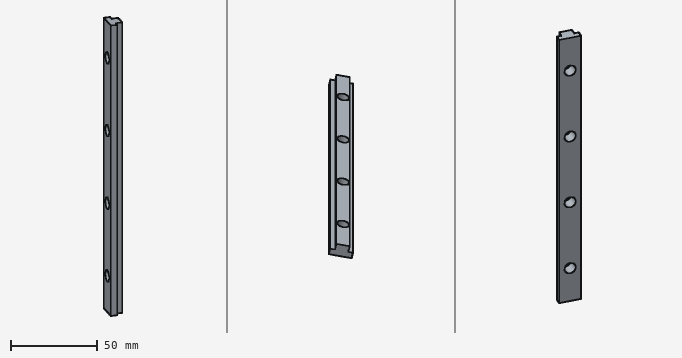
import cadquery as cq

length = 180.0
flange_width = 13.5
depth = 8.0

flange_thickness = 4.0
stem_width = 8.0

hole_count = 4
hole_diameter = 6.8
hole_pitch = length / hole_count


def make_bar():
    """Extrude the T profile along Z, with the flange front on Y = 0."""
    flange = cq.Workplane("XY").box(
        flange_width, flange_thickness, length, centered=(True, False, False)
    )
    stem = cq.Workplane("XY").box(
        stem_width, depth, length, centered=(True, False, False)
    )
    return flange.union(stem)


def make_holes():
    """Cylinders along Y, half a pitch in from each end of the bar."""
    centres = [(0, hole_pitch * (i + 0.5)) for i in range(hole_count)]
    return (
        cq.Workplane("XZ")
        .pushPoints(centres)
        .circle(hole_diameter / 2)
        .extrude(-depth)
    )


result = make_bar().cut(make_holes())